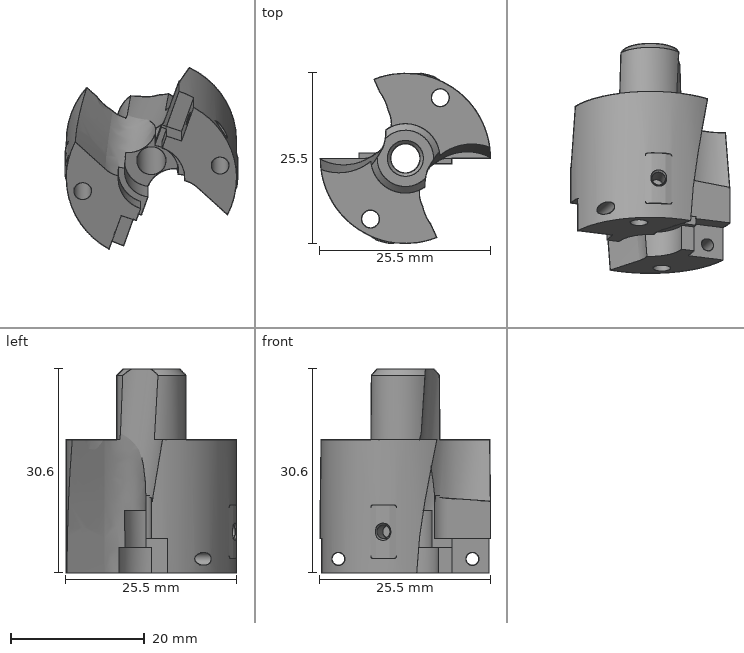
import cadquery as cq
import math

total_height = 30.55
body_height = 19.95
body_radius = 12.75
shank_radius = 5.2
shank_chamfer = 0.98
clearance = 6.1

bore_radius = 2.17
bore_chamfer = 0.52
bore_chamfer_depth = 0.67
middle_bore_radius = 4.03
middle_bore_top = 9.35
lower_bore_radius = 4.98
lower_bore_top = 3.8

flute_corner_radius = 4.35
flute_wall_y = -0.83
flute_wall_angle = 24.4
flute_corner_x = 4.28
flute_bend_z = 10.1
flute_lower_lean = 0.12
flute_upper_lean = 0.22

scoop_radius = 7.5
scoop_floor_centre = (9.32, -6.45, 11.83)
scoop_axis = (0.07, 0.13, 1.0)
relief_radius = 5.5
relief_floor_centre = (7.3, -5.87, 12.22)
relief_axis = (0.065, 0.12, 1.0)

seat_bottom_z = 5.13
seat_top_z = 11.6
seat_fillet_start_x = 6.23
seat_fillet_end_x = 4.35

step_inner_x = 6.97
step_depth_y = 2.38

pad_angle = 15.0
pad_width = 3.97
pad_flat_width = 2.05
pad_length = 7.98
pad_mid_z = 6.17
pad_radius = 12.95
pad_corner_radius = 0.35
pad_root_radius = body_radius - 0.92
pad_hole_radius = 1.0
pad_countersink_radius = 1.28
pad_hole_depth = 3.67

axial_hole_radius = 1.3
axial_hole_x = 5.23
axial_hole_y = 9.08
cross_hole_radius = 0.95
cross_hole_x = 10.02
cross_hole_z = 2.1


def cylinder(radius, bottom, top):
    """Upright cylinder on the tool axis."""
    return cq.Workplane("XY").workplane(offset=bottom).circle(radius).extrude(top - bottom)


def box(x_range, y_range, z_range):
    """Axis-aligned box between the given limits."""
    sizes = [high - low for low, high in (x_range, y_range, z_range)]
    corner = (x_range[0], y_range[0], z_range[0])
    return cq.Workplane("XY").box(*sizes, centered=False).translate(corner)


def opposite(shape):
    """Copy turned half a turn about the tool axis."""
    return shape.rotate((0, 0, 0), (0, 0, 1), 180)


def flute_section(z, corner_x):
    """Closed flute outline at height z with its corner arc centred at corner_x."""
    reach = body_radius + clearance
    slant = math.radians(flute_wall_angle)
    middle = (math.pi / 2 + slant) / 2 - slant
    corner_y = flute_wall_y - flute_corner_radius

    def on_arc(angle):
        return (
            corner_x - flute_corner_radius * math.cos(angle),
            corner_y + flute_corner_radius * math.sin(angle),
        )

    arc_start = on_arc(-slant)
    plane_end_x = arc_start[0] + (arc_start[1] + reach) * math.tan(slant)
    return (
        cq.Workplane("XY").workplane(offset=z)
        .moveTo(plane_end_x, -reach)
        .lineTo(*arc_start)
        .threePointArc(on_arc(middle), on_arc(math.pi / 2))
        .lineTo(2 * reach, flute_wall_y)
        .lineTo(2 * reach, -reach)
        .close()
        .val()
    )


def main_flute():
    """Smooth flute whose lean grows from the bottom to the top."""
    bottom_x = flute_corner_x - flute_lower_lean * flute_bend_z
    body_top_x = flute_corner_x + flute_upper_lean * (body_height - flute_bend_z)
    top_x = flute_corner_x + flute_upper_lean * (total_height - flute_bend_z)
    sections = [
        flute_section(0, bottom_x),
        flute_section(flute_bend_z, flute_corner_x),
        flute_section(body_height, body_top_x),
        flute_section(total_height, top_x),
    ]
    return cq.Workplane(cq.Solid.makeLoft(sections))


def end_mill_cut(radius, floor_centre, axis):
    """Flat-bottomed round cut that runs up along a leaning axis."""
    plane = cq.Plane(origin=floor_centre, normal=axis)
    return cq.Workplane(plane).circle(radius).extrude(total_height)


def insert_seat():
    """Flat seat on the blade plane y = 0, curving out to the flute wall."""
    run = seat_fillet_start_x - seat_fillet_end_x
    reach = body_radius + clearance
    return (
        cq.Workplane("XY").workplane(offset=seat_bottom_z)
        .moveTo(reach, 0)
        .lineTo(seat_fillet_start_x, 0)
        .tangentArcPoint((-run, flute_wall_y))
        .lineTo(reach, flute_wall_y)
        .close()
        .extrude(seat_top_z - seat_bottom_z)
    )


def step_under_seat():
    """Deep outer step, and a shallower one that opens the lower bore."""
    reach = body_radius + clearance
    deep = box((step_inner_x, reach), (-step_depth_y, step_depth_y), (0, seat_bottom_z))
    shallow = box((lower_bore_radius / 2, reach), (-step_depth_y, 0), (0, lower_bore_top))
    return deep.union(shallow)


def wear_pad():
    """Low pad with bevelled flanks, built facing -Y and turned into place."""
    half = pad_width / 2
    half_flat = pad_flat_width / 2
    edge_y = -math.sqrt(body_radius**2 - half**2)
    flat_edge_y = -math.sqrt(pad_radius**2 - half_flat**2)
    pad = (
        cq.Workplane("XY").workplane(offset=pad_mid_z - pad_length / 2)
        .moveTo(-half, -pad_root_radius)
        .lineTo(-half, edge_y)
        .lineTo(-half_flat, flat_edge_y)
        .threePointArc((0, -pad_radius), (half_flat, flat_edge_y))
        .lineTo(half, edge_y)
        .lineTo(half, -pad_root_radius)
        .close()
        .extrude(pad_length)
    )
    rounded_block = (
        cq.Workplane("XZ").center(0, pad_mid_z)
        .rect(pad_width, pad_length)
        .extrude(body_radius + clearance)
        .edges("|Y").fillet(pad_corner_radius)
    )
    return pad.intersect(rounded_block).rotate((0, 0, 0), (0, 0, 1), -pad_angle)


def pad_hole():
    """Radial blind hole with a countersink in the middle of a wear pad."""
    sink = pad_countersink_radius - pad_hole_radius
    hole = (
        cq.Workplane("YZ")
        .polyline([
            (-pad_radius, pad_mid_z),
            (-pad_radius, pad_mid_z + pad_countersink_radius),
            (-pad_radius + sink, pad_mid_z + pad_hole_radius),
            (-pad_radius + pad_hole_depth, pad_mid_z + pad_hole_radius),
            (-pad_radius + pad_hole_depth, pad_mid_z),
        ])
        .close()
        .revolve(360, (0, pad_mid_z, 0), (1, pad_mid_z, 0))
    )
    return hole.rotate((0, 0, 0), (0, 0, 1), -pad_angle)


def axial_hole():
    """Hole through the body parallel to the tool axis."""
    return cylinder(axial_hole_radius, 0, body_height).translate((axial_hole_x, axial_hole_y, 0))


def cross_hole():
    """Hole through the body parallel to Y, near the bottom."""
    return (
        cq.Workplane("XZ").center(cross_hole_x, cross_hole_z)
        .circle(cross_hole_radius)
        .extrude(body_radius, both=True)
    )


def stepped_bore():
    """Central bore with its two lower steps and the chamfered mouth."""
    mouth = cq.Solid.makeCone(
        bore_radius,
        bore_radius + bore_chamfer,
        bore_chamfer_depth,
        pnt=cq.Vector(0, 0, total_height - bore_chamfer_depth),
    )
    return (
        cylinder(bore_radius, 0, total_height)
        .union(cylinder(middle_bore_radius, 0, middle_bore_top))
        .union(cylinder(lower_bore_radius, 0, lower_bore_top))
        .union(cq.Workplane(mouth))
    )


shank = cylinder(shank_radius, 0, total_height).faces(">Z").chamfer(shank_chamfer)
result = cylinder(body_radius, 0, body_height).union(shank)

for pad in (wear_pad(), opposite(wear_pad())):
    result = result.union(pad)

result = result.cut(stepped_bore())

cuts = [
    main_flute(),
    end_mill_cut(scoop_radius, scoop_floor_centre, scoop_axis),
    end_mill_cut(relief_radius, relief_floor_centre, relief_axis),
    insert_seat(),
    step_under_seat(),
    pad_hole(),
    axial_hole(),
    cross_hole(),
]
for cut in cuts:
    result = result.cut(cut).cut(opposite(cut))